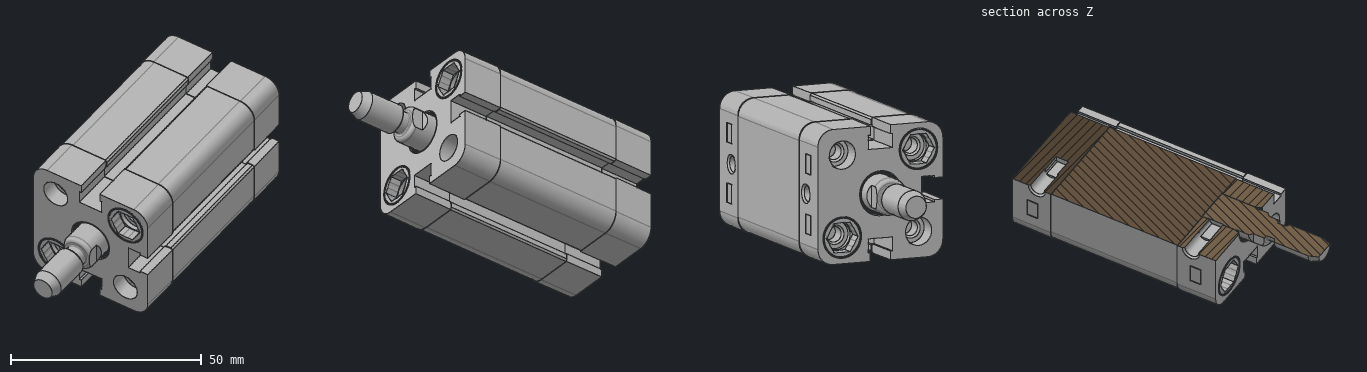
import cadquery as cq
import math


total_length = 84.6
rod_reach = 22.5
body_length = total_length - rod_reach
cap_length = 11.8
barrel_length = body_length - 2 * cap_length

cap_seam_width = 36.3
cap_seam_corner = 4.5
cap_draft_angle = 0.5
barrel_width = 36.0
barrel_corner = 4.6

slot_directions = (0, 90, 180)
slot_width = 7.0
cap_mouth_width = 5.8
cap_lip_level = 15.65
cap_floor_level = 11.9
barrel_mouth_width = 5.3
barrel_lip_level = 16.0
barrel_floor_level = 12.1
barrel_mouth_chamfer = 0.5

corner_offset = 11.0
corner_bore_dia = 7.5
corner_bore_depth = 4.7
thread_mouth_dia = 5.25
thread_core_dia = 4.15
thread_mouth_depth = (thread_mouth_dia - thread_core_dia) / 2
thread_depth = 4.2
plain_corners = [(-corner_offset, corner_offset), (corner_offset, -corner_offset)]
socket_corners = [(corner_offset, corner_offset), (-corner_offset, -corner_offset)]

head_ring_dia = 11.1
head_dia = 10.9
head_face_dia = 10.3
head_step_depth = 0.3
head_ring_depth = 1.0
socket_flats = 7.9
socket_round_dia = 8.0
socket_depth = 3.4

port_from_end = 7.5
port_depth = 7.6
passage_height = 2.9
front_passage_length = 4.1
rear_passage_length = 3.6
rear_passage_floor = 5.0

label_length = 3.1
label_height = 5.2
label_depth = 0.25
label_from_axis = 8.0
label_from_end = 6.2

rod_dia = 10.0
wrench_flats = 8.0
wrench_flats_start = 2.3
collar_length = 6.5
collar_round = 1.2
neck_dia = 5.8
neck_length = 2.5
neck_fillet = 0.25
thread_dia = 8.0
thread_chamfer_length = 0.5
tip_dia = 5.9
tip_length = 2.6

opening_dia = 12.0
opening_inner_dia = 11.4
opening_chamfer = 0.2
opening_steps = ((opening_inner_dia, 0.3), (10.9, 0.6), (10.5, 1.3))


def across(y):
    """Workplane across the cylinder at y: local x is X, local y is Z, and it faces -Y."""
    return cq.Workplane("XZ", origin=(0, y, 0))


def round_bar(diameter, y_start, length, places=((0, 0),)):
    """Cylinders running along +Y from y_start at the given (x, z) places."""
    return across(y_start).pushPoints(places).circle(diameter / 2).extrude(-length)


def cone(start_dia, end_dia, length, start, direction):
    return cq.Workplane(
        cq.Solid.makeCone(start_dia / 2, end_dia / 2, length, cq.Vector(*start), cq.Vector(*direction))
    )


def rounded_square(width, corner):
    return cq.Sketch().rect(width, width).vertices().fillet(corner)


def cut_slots(block, mouth_width, lip_level, floor_level, length):
    """Cut the undercut sensor slots along a block that starts at y = 0."""
    channel_height = lip_level - floor_level
    channel = across(0).center(0, floor_level + channel_height / 2).rect(slot_width, channel_height)
    mouth_height = cap_seam_width / 2 - floor_level
    mouth = across(0).center(0, floor_level + mouth_height / 2).rect(mouth_width, mouth_height)
    slot = channel.extrude(-length).union(mouth.extrude(-length))
    for angle in slot_directions:
        block = block.cut(slot.rotate((0, 0, 0), (0, 1, 0), angle))
    return block


def make_cap_block():
    """Drafted blank of the front cap with its sensor slots."""
    section = rounded_square(cap_seam_width, cap_seam_corner)
    block = across(cap_length).placeSketch(section).extrude(cap_length, taper=cap_draft_angle)
    return cut_slots(block, cap_mouth_width, cap_lip_level, cap_floor_level, cap_length)


def cut_port(cap, passage_length, passage_end):
    """Air port on the -X side: threaded hole, then a rectangular passage towards the axis."""
    face_x = -cap_seam_width / 2
    start = (face_x, port_from_end, 0)
    core = cq.Workplane("YZ", origin=start).circle(thread_core_dia / 2).extrude(port_depth)
    mouth = cone(thread_mouth_dia, thread_core_dia, thread_mouth_depth, start, (1, 0, 0))
    passage_depth = passage_end - face_x
    passage = cq.Workplane("YZ", origin=start).rect(passage_length, passage_height).extrude(passage_depth)
    trim = cq.Workplane("YZ", origin=start).circle(thread_core_dia / 2).extrude(passage_depth)
    passage = passage.intersect(trim)
    return cap.cut(core).cut(mouth).cut(passage)


def cut_labels(cap):
    """Shallow rectangular recesses above and below the port."""
    labels = cq.Workplane("YZ", origin=(-cap_seam_width / 2, label_from_end, 0))
    labels = labels.pushPoints([(0, label_from_axis), (0, -label_from_axis)])
    return cap.cut(labels.rect(label_length, label_height).extrude(label_depth))


def cut_corner_holes(cap):
    """Four stepped mounting holes, each with a thread's core hole in its floor."""
    corners = plain_corners + socket_corners
    cap = cap.cut(round_bar(corner_bore_dia, 0, corner_bore_depth, corners))
    cap = cap.cut(round_bar(thread_core_dia, corner_bore_depth, thread_depth, corners))
    for x, z in corners:
        start = (x, corner_bore_depth, z)
        cap = cap.cut(cone(thread_mouth_dia, thread_core_dia, thread_mouth_depth, start, (0, 1, 0)))
    return cap


def cut_sockets(cap):
    """Hexagon sockets, each inside a stepped ring groove that outlines a screw head."""
    hexagon_dia = socket_flats / math.cos(math.pi / 6)
    heads = round_bar(head_dia, 0, head_ring_depth, socket_corners)
    head_faces = round_bar(head_face_dia, 0, head_step_depth, socket_corners)
    ring_outsides = round_bar(head_ring_dia, 0, head_ring_depth, socket_corners)
    step_outsides = round_bar(head_ring_dia, 0, head_step_depth, socket_corners)
    hexagons = across(0).pushPoints(socket_corners).polygon(6, hexagon_dia)
    cap = cap.cut(ring_outsides.cut(heads))
    cap = cap.cut(step_outsides.cut(head_faces))
    cap = cap.cut(hexagons.extrude(-socket_depth))
    return cap.cut(round_bar(socket_round_dia, 0, socket_depth, socket_corners))


def cut_rod_opening(cap):
    """Bore that guides the rod, with a stepped and chamfered recess at the outer face."""
    cap = cap.cut(round_bar(rod_dia, 0, cap_length))
    cap = cap.cut(cone(opening_dia, opening_inner_dia, opening_chamfer, (0, 0, 0), (0, 1, 0)))
    for diameter, depth in opening_steps:
        cap = cap.cut(round_bar(diameter, 0, depth))
    return cap


def make_front_cap():
    cap = cut_port(make_cap_block(), front_passage_length, 0)
    cap = cut_labels(cap)
    cap = cut_corner_holes(cap)
    cap = cut_sockets(cap)
    return cut_rod_opening(cap)


def make_rear_cap():
    """Mirrored cap block, closed at its outer end."""
    cap = cut_port(make_cap_block(), rear_passage_length, -rear_passage_floor)
    cap = cut_labels(cap)
    return cap.mirror("XZ").translate((0, body_length, 0))


def make_barrel():
    section = rounded_square(barrel_width, barrel_corner)
    barrel = across(0).placeSketch(section).extrude(-barrel_length)
    barrel = cut_slots(barrel, barrel_mouth_width, barrel_lip_level, barrel_floor_level, barrel_length)
    surface = barrel_width / 2
    half_mouth = barrel_mouth_width / 2
    bevel_profile = [
        (-half_mouth - barrel_mouth_chamfer, surface),
        (-half_mouth, surface - barrel_mouth_chamfer),
        (half_mouth, surface - barrel_mouth_chamfer),
        (half_mouth + barrel_mouth_chamfer, surface),
    ]
    bevel = across(0).polyline(bevel_profile).close().extrude(-barrel_length)
    for angle in slot_directions:
        barrel = barrel.cut(bevel.rotate((0, 0, 0), (0, 1, 0), angle))
    return barrel.translate((0, cap_length, 0))


def cut_wrench_flats(rod):
    """Two flats facing -X and +X, each with a 45 degree run-out towards the cap."""
    half_flats = wrench_flats / 2
    flat_depth = rod_dia / 2 - half_flats
    flat_profile = [
        (half_flats, -collar_length),
        (half_flats, -wrench_flats_start - flat_depth),
        (half_flats + flat_depth, -wrench_flats_start),
        (half_flats + flat_depth, -collar_length),
    ]
    flat = cq.Workplane("XY").polyline(flat_profile).close().extrude(rod_dia / 2, both=True)
    return rod.cut(flat).cut(flat.mirror("YZ"))


def make_rod():
    """Turned rod: guided shank and collar, relief neck, threaded end with a tapered tip."""
    neck_end = collar_length + neck_length
    neck_radius = neck_dia / 2
    fillet_edge = neck_radius + neck_fillet
    tip_start = rod_reach - tip_length
    round_start = (rod_dia / 2, -collar_length + collar_round)
    round_end = (rod_dia / 2 - collar_round, -collar_length)
    profile = (
        cq.Workplane("XY")
        .moveTo(0, cap_length)
        .lineTo(rod_dia / 2, cap_length)
        .lineTo(*round_start)
        .radiusArc(round_end, collar_round)
        .lineTo(fillet_edge, -collar_length)
        .radiusArc((neck_radius, -collar_length - neck_fillet), -neck_fillet)
        .lineTo(neck_radius, -neck_end + neck_fillet)
        .radiusArc((fillet_edge, -neck_end), -neck_fillet)
        .lineTo(thread_dia / 2, -neck_end - thread_chamfer_length)
        .lineTo(thread_dia / 2, -tip_start)
        .lineTo(tip_dia / 2, -rod_reach)
        .lineTo(0, -rod_reach)
        .close()
    )
    rod = profile.revolve(360, (0, 0, 0), (0, 1, 0))
    return cut_wrench_flats(rod)


front_cap = make_front_cap()
barrel = make_barrel()
rear_cap = make_rear_cap()
rod = make_rod()

result = cq.Compound.makeCompound([front_cap.val(), barrel.val(), rear_cap.val(), rod.val()])